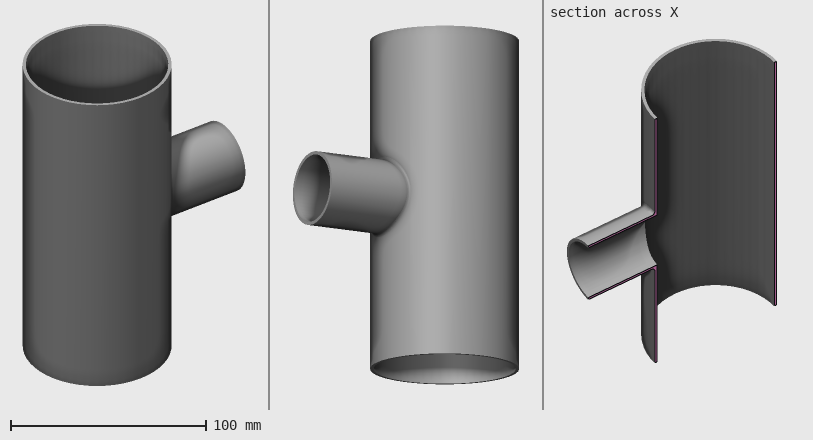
import cadquery as cq

tube_length = 171.4
tube_outer_radius = 76.3 / 2
wall = 1.7
tube_inner_radius = tube_outer_radius - wall

total_depth = 117.5
branch_end = total_depth - tube_outer_radius
branch_outer_radius = 38.0 / 2
branch_inner_radius = branch_outer_radius - wall
junction_fillet = 1.7


def upright_cylinder(radius):
    return cq.Workplane("XY").circle(radius).extrude(tube_length / 2, both=True)


def branch_cylinder(radius):
    return cq.Workplane("XZ").circle(radius).extrude(-branch_end)


tee = upright_cylinder(tube_outer_radius).union(branch_cylinder(branch_outer_radius))
junction_box = cq.selectors.BoxSelector(
    (-tube_outer_radius, 0, -tube_length / 4),
    (tube_outer_radius, branch_end - wall, tube_length / 4),
    boundingbox=True,
)
tee = tee.edges(junction_box).fillet(junction_fillet)

tee = tee.cut(upright_cylinder(tube_inner_radius))
result = tee.cut(branch_cylinder(branch_inner_radius))